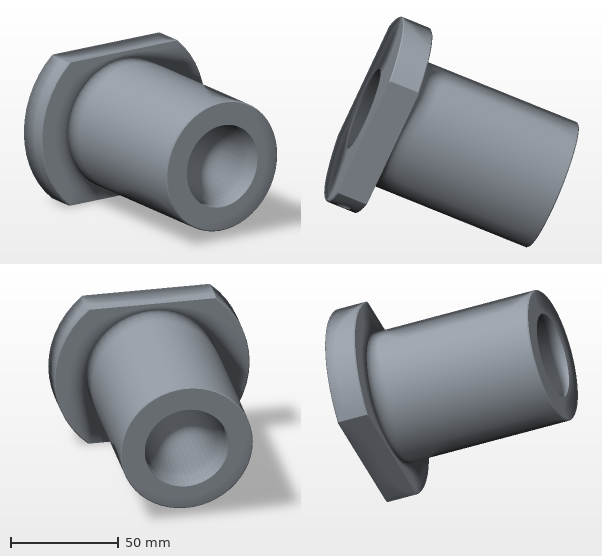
import cadquery as cq

total_length = 96.0
flange_thickness = 15.0
flange_diameter = 93.0
flange_width_across_flats = 70.0
body_diameter = 63.0
bore_diameter = 40.0
edge_chamfer = 0.5

radial_hole_diameter = 6.8
radial_hole_x = flange_thickness / 2
radial_hole_angle = -30.0


def make_flange():
    """Round flange with both rims chamfered, then trimmed to two flats facing +Z and -Z."""
    disc = (
        cq.Workplane("YZ")
        .circle(flange_diameter / 2)
        .extrude(flange_thickness)
        .edges()
        .chamfer(edge_chamfer)
    )
    flats_envelope = cq.Workplane("XY").box(
        flange_thickness,
        flange_diameter,
        flange_width_across_flats,
        centered=(False, True, True),
    )
    return disc.intersect(flats_envelope)


def make_body():
    """Cylindrical sleeve with its free end chamfered."""
    return (
        cq.Workplane("YZ")
        .circle(body_diameter / 2)
        .extrude(total_length)
        .faces(">X")
        .edges()
        .chamfer(edge_chamfer)
    )


def make_bore():
    """Straight bore through the full length."""
    return cq.Workplane("YZ").circle(bore_diameter / 2).extrude(total_length)


def make_radial_hole():
    """Cylinder from the axis out past the flange rim, turned to the hole angle."""
    return (
        cq.Workplane("XZ")
        .center(radial_hole_x, 0)
        .circle(radial_hole_diameter / 2)
        .extrude(-flange_diameter)
        .rotate((0, 0, 0), (1, 0, 0), radial_hole_angle)
    )


result = make_flange().union(make_body()).cut(make_bore()).cut(make_radial_hole())